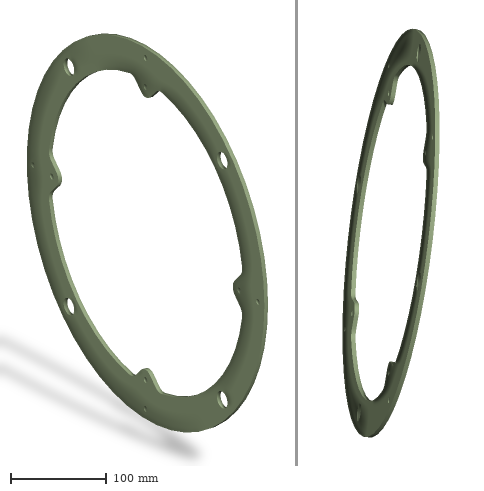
import cadquery as cq
import math

outer_radius = 215.9
inner_radius = 177.8
thickness = 4.75

lobe_count = 4
lobe_center_radius = 170.4
lobe_tip_radius = 11.9
lobe_flank_angle = math.radians(45)
lobe_root_fillet = 12.7

screw_hole_diameter = 6.35
screw_hole_radii = (lobe_center_radius, 204.2)

large_hole_diameter = 19.05
large_hole_circle_radius = 196.85
large_hole_start_angle = 180 / lobe_count


def sketch_plane():
    """Back face of the ring; extruding from it runs toward -Y and leaves the ring centered on Y = 0."""
    return cq.Workplane("XZ", origin=(0, thickness / 2, 0))


def on_lobe_axis(lobe_angle, radial, lateral):
    """Turn a point given along and across a lobe axis into a sketch point."""
    cosine = math.cos(lobe_angle)
    sine = math.sin(lobe_angle)
    return (radial * cosine - lateral * sine, radial * sine + lateral * cosine)


def opening_outline():
    """Closed outline of the central opening, running counterclockwise past every lobe."""
    normal = (-math.sin(lobe_flank_angle), math.cos(lobe_flank_angle))
    along = (math.cos(lobe_flank_angle), math.sin(lobe_flank_angle))

    fillet_distance = inner_radius - lobe_root_fillet
    fillet_normal = lobe_tip_radius + lobe_root_fillet + lobe_center_radius * normal[0]
    fillet_along = math.sqrt(fillet_distance**2 - fillet_normal**2)
    fillet_radial = fillet_normal * normal[0] + fillet_along * along[0]
    fillet_lateral = fillet_normal * normal[1] + fillet_along * along[1]
    fillet_angle = math.atan2(fillet_lateral, fillet_radial)

    rim = (inner_radius * math.cos(fillet_angle), inner_radius * math.sin(fillet_angle))
    flank_root = (
        fillet_radial - lobe_root_fillet * normal[0],
        fillet_lateral - lobe_root_fillet * normal[1],
    )
    flank_tip = (
        lobe_center_radius + lobe_tip_radius * normal[0],
        lobe_tip_radius * normal[1],
    )
    tip = (lobe_center_radius - lobe_tip_radius, 0)

    flank_direction = math.atan2(-normal[1], -normal[0])
    middle_direction = (fillet_angle + flank_direction) / 2
    fillet_middle = (
        fillet_radial + lobe_root_fillet * math.cos(middle_direction),
        fillet_lateral + lobe_root_fillet * math.sin(middle_direction),
    )

    lobe_pitch = 2 * math.pi / lobe_count
    outline = sketch_plane().moveTo(*on_lobe_axis(0, rim[0], -rim[1]))
    for index in range(lobe_count):
        angle = index * lobe_pitch

        def before(point):
            return on_lobe_axis(angle, point[0], -point[1])

        def after(point):
            return on_lobe_axis(angle, point[0], point[1])

        rim_middle = on_lobe_axis(angle + lobe_pitch / 2, inner_radius, 0)
        next_rim = on_lobe_axis(angle + lobe_pitch, rim[0], -rim[1])
        outline = (
            outline.threePointArc(before(fillet_middle), before(flank_root))
            .lineTo(*before(flank_tip))
            .threePointArc(after(tip), after(flank_tip))
            .lineTo(*after(flank_root))
            .threePointArc(after(fillet_middle), after(rim))
            .threePointArc(rim_middle, next_rim)
        )
    return outline.close()


def hole_circle(circle_radius, start_angle, diameter):
    """Through-hole cutters evenly spaced on a circle, one per lobe."""
    return (
        sketch_plane()
        .polarArray(circle_radius, start_angle, 360, lobe_count)
        .circle(diameter / 2)
        .extrude(thickness)
    )


result = sketch_plane().circle(outer_radius).extrude(thickness)
result = result.cut(opening_outline().extrude(thickness))
for screw_hole_radius in screw_hole_radii:
    result = result.cut(hole_circle(screw_hole_radius, 0, screw_hole_diameter))
result = result.cut(hole_circle(large_hole_circle_radius, large_hole_start_angle, large_hole_diameter))